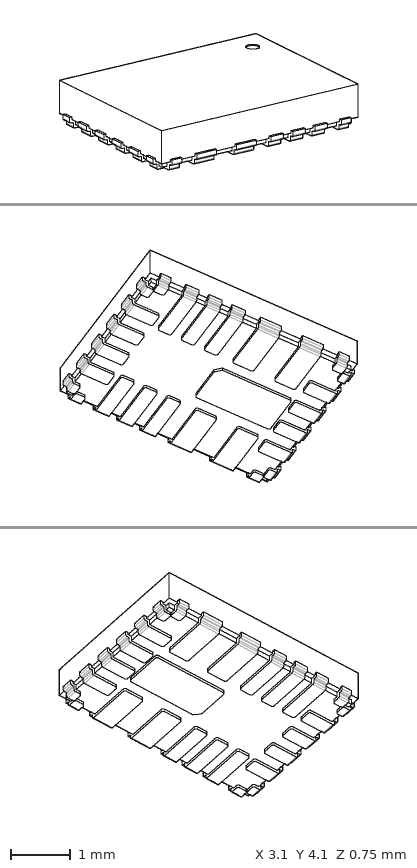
import cadquery as cq

OVERALL_X = 3.1
OVERALL_Y = 4.1
OVERALL_Z = 0.75

LEAD_REACH = 0.05
BODY_BOTTOM = 0.16
BASE_BOTTOM = 0.057
BASE_INSET_X = 0.09
BASE_INSET_Y = 0.07

MARK_DIAMETER = 0.235
MARK_X = -1.0
MARK_Y = 1.585
MARK_DEPTH = 0.02

LEAD_TOP = 0.205
ARM_BOTTOM = 0.102
FOOT_SETBACK = 0.075
BEND_RADIUS = 0.03
INNER_BEND_RADIUS = 0.012
WIDE_INNER_BEND_RADIUS = 0.03
FOOT_CORNER_RADIUS = 0.035
UPRIGHT_BACK = 0.172

CORNER_WIDTH = 0.2
NARROW_WIDTH = 0.255
WIDE_WIDTH = 0.4
SIDE_CORNER_FOOT = 0.18
END_CORNER_FOOT = 0.155
END_FOOT = 0.525
SIDE_FOOT = 0.877

NARROW_PER_END = 4
END_PITCH = 0.5
END_CORNER_X = 1.225
SIDE_CORNER_Y = 1.72
NARROW_PER_SIDE = 3
SIDE_NARROW_Y = 1.21
SIDE_NARROW_PITCH = 0.445
WIDE_PER_SIDE = 2
SIDE_WIDE_Y = -0.308
SIDE_WIDE_PITCH = 0.808

PAD_WIDTH = 0.74
PAD_Y_MAX = 0.055
PAD_Y_MIN = -1.39
PAD_CHAMFER = 0.102

BODY_X = OVERALL_X - 2 * LEAD_REACH
BODY_Y = OVERALL_Y - 2 * LEAD_REACH
CENTRED_IN_PLAN = (True, True, False)


def make_body():
    body = (
        cq.Workplane("XY", origin=(0, 0, BODY_BOTTOM))
        .box(BODY_X, BODY_Y, OVERALL_Z - BODY_BOTTOM, centered=CENTRED_IN_PLAN)
    )
    base = (
        cq.Workplane("XY", origin=(0, 0, BASE_BOTTOM))
        .box(BODY_X - 2 * BASE_INSET_X, BODY_Y - 2 * BASE_INSET_Y, BODY_BOTTOM - BASE_BOTTOM,
             centered=CENTRED_IN_PLAN)
    )
    mark = (
        cq.Workplane("XY", origin=(MARK_X, MARK_Y, OVERALL_Z - MARK_DEPTH))
        .circle(MARK_DIAMETER / 2)
        .extrude(MARK_DEPTH)
    )
    return body.union(base).cut(mark)


def make_pad():
    length = PAD_Y_MAX - PAD_Y_MIN
    pad = (
        cq.Workplane("XY", origin=(0, (PAD_Y_MAX + PAD_Y_MIN) / 2, 0))
        .box(PAD_WIDTH, length, BASE_BOTTOM, centered=CENTRED_IN_PLAN)
    )
    pad = pad.edges("|Z and <X and >Y").chamfer(PAD_CHAMFER)
    return pad.edges("|Z and (<Y or >X)").fillet(FOOT_CORNER_RADIUS)


def make_lead(width, foot_length, inner_radius):
    """Stepped lead with its tip at X = 0 and its foot running toward +X, centred on Y = 0."""
    foot_end = FOOT_SETBACK + foot_length
    lead = (
        cq.Workplane("XZ", origin=(0, width / 2, 0))
        .moveTo(0, LEAD_TOP)
        .lineTo(UPRIGHT_BACK, LEAD_TOP)
        .lineTo(UPRIGHT_BACK, BASE_BOTTOM)
        .lineTo(foot_end, BASE_BOTTOM)
        .lineTo(foot_end, 0)
        .lineTo(FOOT_SETBACK + BEND_RADIUS, 0)
        .tangentArcPoint((FOOT_SETBACK, BEND_RADIUS), relative=False)
        .lineTo(FOOT_SETBACK, ARM_BOTTOM - inner_radius)
        .tangentArcPoint((FOOT_SETBACK - inner_radius, ARM_BOTTOM), relative=False)
        .lineTo(BEND_RADIUS, ARM_BOTTOM)
        .tangentArcPoint((0, ARM_BOTTOM + BEND_RADIUS), relative=False)
        .close()
        .extrude(width)
    )
    return lead.edges("|Z and >X").fillet(FOOT_CORNER_RADIUS)


def place_side_lead(lead, y):
    """The lead at y on the -X side and its copy on the +X side."""
    left = lead.translate((-OVERALL_X / 2, y, 0))
    return [left, left.mirror("YZ")]


def place_end_lead(lead, x):
    """The lead at x on the -Y end and its copy on the +Y end."""
    front = lead.rotate((0, 0, 0), (0, 0, 1), 90).translate((x, -OVERALL_Y / 2, 0))
    return [front, front.mirror("XZ")]


def make_leads():
    side_corner = make_lead(CORNER_WIDTH, SIDE_CORNER_FOOT, INNER_BEND_RADIUS)
    end_corner = make_lead(CORNER_WIDTH, END_CORNER_FOOT, INNER_BEND_RADIUS)
    end = make_lead(NARROW_WIDTH, END_FOOT, INNER_BEND_RADIUS)
    narrow = make_lead(NARROW_WIDTH, SIDE_FOOT, INNER_BEND_RADIUS)
    wide = make_lead(WIDE_WIDTH, SIDE_FOOT, WIDE_INNER_BEND_RADIUS)

    leads = []
    for sign in (-1, 1):
        leads += place_side_lead(side_corner, sign * SIDE_CORNER_Y)
        leads += place_end_lead(end_corner, sign * END_CORNER_X)
    for index in range(NARROW_PER_END):
        leads += place_end_lead(end, (index - (NARROW_PER_END - 1) / 2) * END_PITCH)
    for index in range(NARROW_PER_SIDE):
        leads += place_side_lead(narrow, SIDE_NARROW_Y - index * SIDE_NARROW_PITCH)
    for index in range(WIDE_PER_SIDE):
        leads += place_side_lead(wide, SIDE_WIDE_Y - index * SIDE_WIDE_PITCH)
    return leads


result = make_body().union(make_pad())
for lead in make_leads():
    result = result.union(lead)